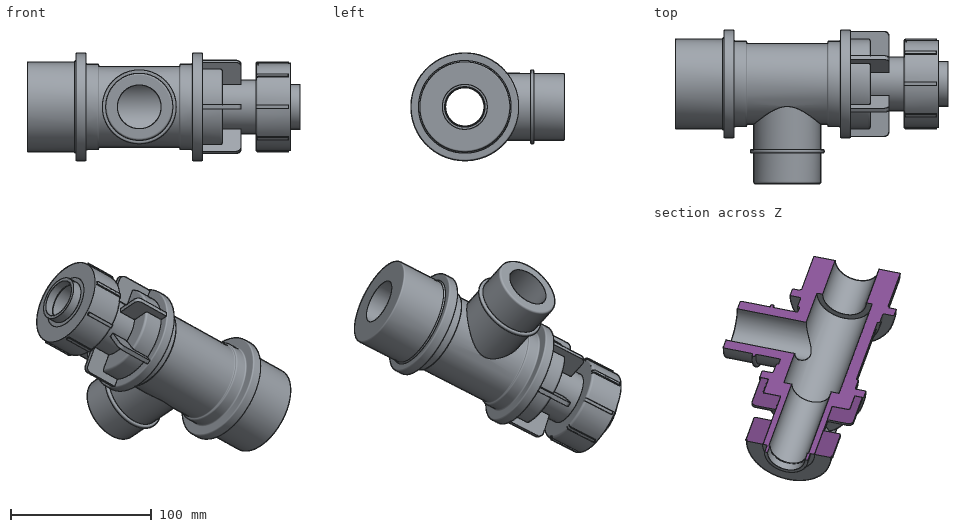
import cadquery as cq
nominal = 32.0
total_length = 194.0
left_end = -79.6
right_end = left_end + total_length
root_round = 0.03 * nominal
edge_round = 0.03 * nominal

tube_diameter = 1.8 * nominal
collar_diameter = 1.9 * nominal
collar_start = 28.8
collar_root_round = (collar_diameter - tube_diameter) / 2 - edge_round
flange_diameter = 2.4 * nominal
flange_width = 7.2
flange_outer = 45.0
flange_inner = flange_outer - flange_width
run_bore_diameter = 0.7 * tube_diameter

socket_diameter = 2.0 * nominal
socket_bore_diameter = nominal

branch_diameter = 47.8
branch_bore_diameter = 0.65 * branch_diameter
branch_length = 71.0
branch_round = 0.03 * branch_diameter
band_diameter = 1.1 * branch_diameter
band_width = 0.05 * branch_diameter
band_round = 0.02 * branch_diameter
band_distance = 47.9

hub_diameter = 2.0 * nominal
hub_end = 59.0
hub_round = 0.05 * nominal
pipe_diameter = 1.2 * nominal
pipe_bore_diameter = 0.75 * pipe_diameter
spigot_diameter = nominal
spigot_bore_diameter = 0.85 * spigot_diameter

fin_count = 6
fin_thickness = 0.1 * nominal
fin_radius = flange_diameter / 2 - edge_round
fin_end = 72.4
fin_round = 0.12 * nominal

nut_start = 83.0
nut_length = 24.5
nut_end = nut_start + nut_length
rib_diameter = 2.0 * nominal
nut_diameter = 0.97 * rib_diameter
nut_round = 0.05 * nominal
rib_count = 8
rib_width = 0.075 * nominal
rib_end = nut_end - 0.05 * nominal


def run_cylinder(diameter, start, end):
    """A solid cylinder on the X axis between two X positions."""
    return cq.Workplane("YZ", origin=(start, 0, 0)).circle(diameter / 2).extrude(end - start)


def branch_cylinder(diameter, start, end):
    """A solid cylinder on the branch axis between two distances from the run axis."""
    return cq.Workplane("XZ", origin=(0, -start, 0)).circle(diameter / 2).extrude(end - start)


def around_run(solid, index, count):
    """The solid turned about the X axis to its place among `count` equal steps."""
    return solid.rotate((0, 0, 0), (1, 0, 0), index * 360 / count)


def flanged_end():
    """Collar and flange of the right side, solid to the axis and rounded at every step."""
    tube = tube_diameter / 2
    collar = collar_diameter / 2
    flange = flange_diameter / 2
    return (
        cq.Workplane("XY")
        .moveTo(collar_start - collar_root_round, 0)
        .lineTo(collar_start - collar_root_round, tube)
        .radiusArc((collar_start, tube + collar_root_round), -collar_root_round)
        .radiusArc((collar_start + edge_round, collar), edge_round)
        .lineTo(flange_inner - root_round, collar)
        .radiusArc((flange_inner, collar + root_round), -root_round)
        .lineTo(flange_inner, flange - edge_round)
        .radiusArc((flange_inner + edge_round, flange), edge_round)
        .lineTo(flange_outer - edge_round, flange)
        .radiusArc((flange_outer, flange - edge_round), edge_round)
        .lineTo(flange_outer, 0)
        .close()
        .revolve(360, (0, 0, 0), (1, 0, 0))
    )


def socket():
    """Plain pipe end on the left flange, with a small round where it leaves the flange."""
    radius = socket_diameter / 2
    return (
        cq.Workplane("XY")
        .moveTo(-flange_outer, 0)
        .lineTo(-flange_outer, radius + root_round)
        .radiusArc((-flange_outer - root_round, radius), -root_round)
        .lineTo(left_end + edge_round, radius)
        .radiusArc((left_end, radius - edge_round), -edge_round)
        .lineTo(left_end, 0)
        .close()
        .revolve(360, (0, 0, 0), (1, 0, 0))
    )


def branch():
    """Branch stub with its rounded end and the band around it."""
    stub = branch_cylinder(branch_diameter, 0, branch_length).faces("<Y").edges().fillet(branch_round)
    band = branch_cylinder(band_diameter, band_distance - band_width / 2, band_distance + band_width / 2)
    return stub.union(band.edges().fillet(band_round))


def outlet():
    """Hub, pipe and spigot on the right flange, without their bores."""
    hub = run_cylinder(hub_diameter, flange_outer, hub_end).faces(">X").edges().fillet(hub_round)
    pipe = run_cylinder(pipe_diameter, flange_outer, nut_end)
    spigot = run_cylinder(spigot_diameter, flange_outer, right_end)
    return hub.union(pipe).union(spigot)


def make_housing():
    right_flange = flanged_end()
    left_flange = right_flange.mirror("YZ")
    tube = run_cylinder(tube_diameter, -flange_inner, flange_inner)
    housing = tube.union(left_flange).union(right_flange)
    housing = housing.union(branch()).union(socket()).union(outlet())
    bores = (
        run_cylinder(socket_bore_diameter, left_end, -flange_outer),
        run_cylinder(run_bore_diameter, -flange_outer, flange_outer),
        run_cylinder(pipe_bore_diameter, flange_outer, nut_end),
        run_cylinder(spigot_bore_diameter, nut_end, right_end),
        branch_cylinder(branch_bore_diameter, 0, branch_length),
    )
    for bore in bores:
        housing = housing.cut(bore)
    return housing


def make_fin(index):
    """A flat plate against the flange, stepped to rest on the hub and the pipe."""
    plate = (
        cq.Workplane("XY", origin=(flange_outer, 0, 0))
        .box(fin_end - flange_outer, fin_radius, fin_thickness, centered=(False, False, True))
        .edges(">X and >Y")
        .fillet(fin_round)
    )
    fin = plate.cut(outlet())
    return around_run(fin, index, fin_count)


def make_nut():
    nut = run_cylinder(nut_diameter, nut_start, nut_end).faces("<X").edges().fillet(nut_round)
    rib_envelope = run_cylinder(rib_diameter, nut_start, rib_end).faces("<X").edges().fillet(nut_round)
    rib = (
        cq.Workplane("XY", origin=(nut_start, 0, 0))
        .box(rib_end - nut_start, rib_diameter / 2, rib_width, centered=(False, False, True))
        .intersect(rib_envelope)
    )
    for index in range(rib_count):
        nut = nut.union(around_run(rib, index, rib_count))
    return nut.cut(run_cylinder(pipe_diameter, nut_start, nut_end))


housing = make_housing()
fins = [make_fin(index).val() for index in range(fin_count)]
nut = make_nut()

result = cq.Compound.makeCompound([housing.val(), *fins, nut.val()])